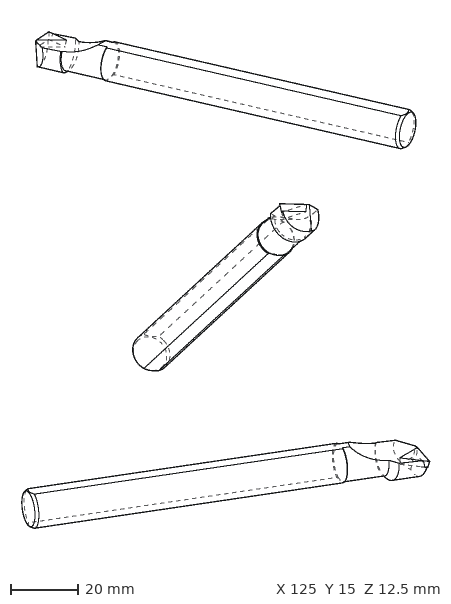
import cadquery as cq
import math

total_length = 125.0
shank_radius = 6.0
flat_height = 5.5
end_chamfer_length = 1.0
end_chamfer_depth = 0.6

neck_radius = 5.8
neck_start = 11.8
neck_end = 25.0
neck_step = shank_radius - neck_radius

head_radius = 7.0
head_offset = 1.08
nose_x = 0.4
nose_y = -0.6
corner_bevel_angle = 8.0

tip_y = 9.0
tip_z = 0.1
insert_side = 9.0
triangle_angle = 60.0
insert_thickness = 2.2
insert_relief = 6.0
lead_angle = 3.0
radial_rake = 8.0
axial_rake = 2.0

flute_start = 11.8
flute_radius = 19.4
flute_sweep_radius = 50.0
flute_center_y = -9.0

reach = 37.5

radial_slope = math.tan(math.radians(radial_rake))
axial_slope = math.tan(math.radians(axial_rake))
rake_plane = cq.Plane(
    origin=(0, tip_y, tip_z),
    xDir=(1, 0, axial_slope),
    normal=(-axial_slope, radial_slope, 1),
)


def x_cylinder(radius, start, end, center_y=0.0):
    return cq.Workplane("YZ", origin=(start, center_y, 0)).circle(radius).extrude(end - start)


def make_shank():
    profile = [
        (neck_start, 0),
        (neck_start, neck_radius),
        (neck_end, neck_radius),
        (neck_end + neck_step, shank_radius),
        (total_length - end_chamfer_length, shank_radius),
        (total_length, shank_radius - end_chamfer_depth),
        (total_length, 0),
    ]
    bar = cq.Workplane("XY").polyline(profile).close().revolve(360, (0, 0, 0), (1, 0, 0))
    top_limit = cq.Workplane("XY").box(
        total_length, reach, reach + flat_height, centered=(False, True, False)
    ).translate((0, 0, -reach))
    bottom_limit = cq.Workplane("XY").box(
        total_length - neck_end, reach, reach, centered=(False, True, False)
    ).translate((neck_end, 0, -flat_height - reach))
    return bar.intersect(top_limit).cut(bottom_limit)


def make_head():
    """Eccentric cylinder merged with the bar, its back tapered at 45 degrees to the neck."""
    head = x_cylinder(head_radius, 0, neck_start, head_offset)
    head = head.union(x_cylinder(shank_radius, 0, neck_start))
    back_cone = (
        cq.Workplane("XY")
        .polyline([(0, 0), (0, neck_radius + neck_start), (neck_start, neck_radius), (neck_start, 0)])
        .close()
        .revolve(360, (0, 0, 0), (1, 0, 0))
    )
    return head.intersect(back_cone)


def clearance_cutter(along_front, turn):
    """Everything ahead of a clearance face starting this far down the insert's front edge."""
    front = rake_plane.rotated((0, 0, lead_angle))
    start = front.toWorldCoords((0, -along_front, 0))
    face = cq.Plane(start, front.xDir, front.zDir)
    face = face.rotated((0, 0, turn)).rotated((0, -insert_relief, 0))
    return cq.Workplane(face).box(reach, 2 * reach, 2 * reach).translate(face.xDir * (-reach / 2))


def nose_cutter():
    """Vertical 45 degree bevel on the -Y front corner."""
    return (
        cq.Workplane("XY", origin=(nose_x, nose_y, -reach))
        .polyline([(-reach, reach), (reach, -reach), (-reach, -reach)])
        .close()
        .extrude(2 * reach)
    )


def flute_cutter():
    """Flat rake face that sweeps up tangentially into a concave run-out."""
    mid = math.sqrt(0.5) * flute_radius
    start = flute_sweep_radius
    center = rake_plane.toWorldCoords((flute_start - flute_sweep_radius, flute_center_y, 0))
    return (
        cq.Workplane(cq.Plane(center, rake_plane.xDir, -rake_plane.yDir))
        .lineTo(start, 0)
        .threePointArc((start + mid, flute_radius - mid), (start + flute_radius, flute_radius))
        .lineTo(0, flute_radius)
        .close()
        .revolve(360, (0, 0, 0), (0, 1, 0))
    )


def make_insert():
    def corner(angle):
        angle = math.radians(angle)
        return insert_side * math.cos(angle), insert_side * math.sin(angle)

    front_angle = lead_angle - 90
    x1, y1 = corner(front_angle)
    x2, y2 = corner(front_angle + triangle_angle)
    underside = cq.Plane(rake_plane.origin, rake_plane.xDir, -rake_plane.zDir)
    return (
        cq.Workplane(underside)
        .polyline([(0, 0), (x1, -y1), (x2, -y2)])
        .close()
        .extrude(insert_thickness, taper=insert_relief)
    )


insert = make_insert()
bar = make_shank().union(make_head())
bar = bar.cut(clearance_cutter(0, 0))
bar = bar.cut(clearance_cutter(insert_side, corner_bevel_angle))
bar = bar.cut(nose_cutter())
bar = bar.cut(flute_cutter())
bar = bar.cut(insert)

result = cq.Compound.makeCompound([bar.val(), insert.val()])